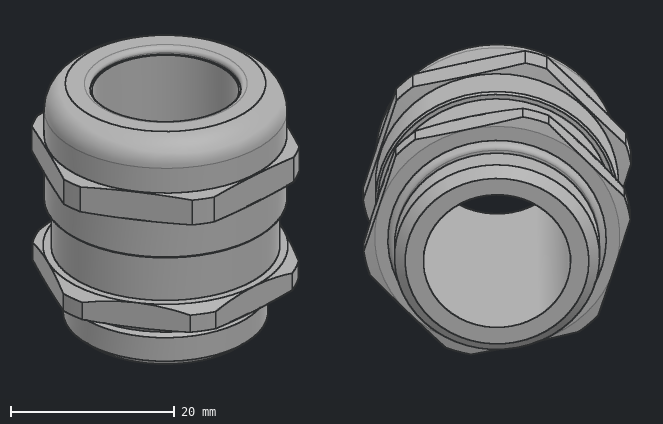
import cadquery as cq
import math

across_flats = 30.0

bore_diameter = 18.0
mouth_diameter = 18.45
mouth_rounding = 0.73
mouth_depth = 1.0

thread_diameter = 25.1
thread_tip_diameter = 22.47
thread_tip_height = 1.13
thread_top = 4.4
neck_diameter = 23.2
neck_bottom = 5.3

ring_diameter = 26.7

lower_nut_bottom = 6.93
lower_nut_top = 10.4
lower_nut_corners = 32.9
lower_nut_top_bevel = 0.85
lower_nut_bottom_bevel = 0.23

body_diameter = 28.0

cap_diameter = 29.73
cap_bottom = 16.67
cap_edge_chamfer = 0.25
cap_dome_start = 29.33
cap_top = 33.0
cap_face_diameter = 24.52

upper_nut_bottom = 21.95
upper_nut_top = 25.85
upper_nut_corners = 33.15
upper_nut_bevel = 0.23


def revolve(profile):
    """Turn a closed (radius, height) profile around the Z axis."""
    return profile.close().revolve(360, (0, 0, 0), (0, 1, 0))


def cylinder(diameter, bottom, top):
    return cq.Workplane("XY").workplane(offset=bottom).circle(diameter / 2).extrude(top - bottom)


def hex_nut(bottom, top, corners, face_diameter, bottom_bevel, top_bevel):
    """Hexagon with its corners along X, trimmed by a turned blank with conical ends rising to flat faces."""
    across_corners = across_flats / math.cos(math.pi / 6)
    hexagon = cq.Workplane("XY").workplane(offset=bottom).polygon(6, across_corners).extrude(top - bottom)
    blank = revolve(
        cq.Workplane("XZ")
        .moveTo(0, bottom)
        .lineTo(face_diameter / 2, bottom)
        .lineTo(corners / 2, bottom + bottom_bevel)
        .lineTo(corners / 2, top - top_bevel)
        .lineTo(face_diameter / 2, top)
        .lineTo(0, top)
    )
    return hexagon.intersect(blank)


def threaded_end():
    """Plain thread envelope with a chamfered tip and a cone into the neck."""
    return revolve(
        cq.Workplane("XZ")
        .lineTo(thread_tip_diameter / 2, 0)
        .lineTo(thread_diameter / 2, thread_tip_height)
        .lineTo(thread_diameter / 2, thread_top)
        .lineTo(neck_diameter / 2, neck_bottom)
        .lineTo(0, neck_bottom)
    )


def sealing_ring():
    """Disc with a fully rounded rim."""
    rim_radius = (lower_nut_bottom - neck_bottom) / 2
    rim_start = ring_diameter / 2 - rim_radius
    return revolve(
        cq.Workplane("XZ")
        .moveTo(0, neck_bottom)
        .lineTo(rim_start, neck_bottom)
        .threePointArc((ring_diameter / 2, neck_bottom + rim_radius), (rim_start, lower_nut_bottom))
        .lineTo(0, lower_nut_bottom)
    )


def cap():
    """Chamfered sleeve whose dome leaves the side tangentially and meets the flat face at an edge."""
    side_radius = cap_diameter / 2
    face_radius = cap_face_diameter / 2
    inset = side_radius - face_radius
    rise = cap_top - cap_dome_start
    dome_radius = (inset**2 + rise**2) / (2 * inset)
    half_sweep = math.asin(rise / dome_radius) / 2
    dome_middle = (
        side_radius - dome_radius * (1 - math.cos(half_sweep)),
        cap_dome_start + dome_radius * math.sin(half_sweep),
    )
    return revolve(
        cq.Workplane("XZ")
        .moveTo(0, cap_bottom)
        .lineTo(side_radius - cap_edge_chamfer, cap_bottom)
        .lineTo(side_radius, cap_bottom + cap_edge_chamfer)
        .lineTo(side_radius, cap_dome_start)
        .threePointArc(dome_middle, (face_radius, cap_top))
        .lineTo(0, cap_top)
    )


def bore():
    """Through bore that opens into a wider, rounded mouth at the top."""
    bore_radius = bore_diameter / 2
    mouth_radius = mouth_diameter / 2
    mouth_bottom = cap_top - mouth_depth
    corner = mouth_rounding * (1 - math.cos(math.pi / 4))
    return revolve(
        cq.Workplane("XZ")
        .lineTo(bore_radius, 0)
        .lineTo(bore_radius, mouth_bottom)
        .lineTo(mouth_radius, mouth_bottom)
        .lineTo(mouth_radius, cap_top - mouth_rounding)
        .threePointArc((mouth_radius + corner, cap_top - corner), (mouth_radius + mouth_rounding, cap_top))
        .lineTo(0, cap_top)
    )


lower_nut = hex_nut(
    lower_nut_bottom, lower_nut_top, lower_nut_corners, across_flats,
    lower_nut_bottom_bevel, lower_nut_top_bevel,
)
upper_nut = hex_nut(
    upper_nut_bottom, upper_nut_top, upper_nut_corners, cap_diameter,
    upper_nut_bevel, upper_nut_bevel,
)
body = cylinder(body_diameter, lower_nut_top, cap_bottom)

result = (
    threaded_end()
    .union(sealing_ring())
    .union(lower_nut)
    .union(body)
    .union(cap())
    .union(upper_nut)
    .cut(bore())
)